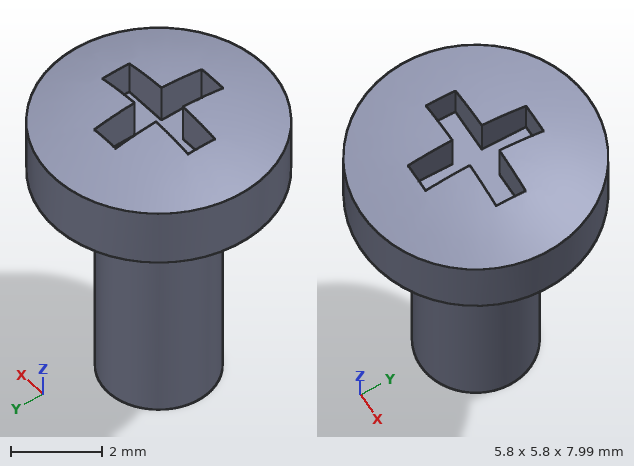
import cadquery as cq
import math

total_height = 7.99
shank_diameter = 2.805
shank_length = 6.0
head_diameter = 5.8
head_side_height = 1.5
recess_span = 3.005
recess_width = 0.75
recess_depth = 0.99

head_radius = head_diameter / 2
dome_base = shank_length + head_side_height

corner_radius = recess_width / math.sqrt(2)
corner_rise = total_height - dome_base
center_drop = (head_radius**2 - corner_radius**2 - corner_rise**2) / (2 * corner_rise)
sphere_radius = math.hypot(head_radius, center_drop)
sphere_center = dome_base - center_drop


def dome_height(radius):
    """Z of the dome surface at a distance from the axis."""
    return sphere_center + math.sqrt(sphere_radius**2 - radius**2)


def make_screw_body():
    """Shank and domed head, revolved as one profile."""
    shank_radius = shank_diameter / 2
    arc_middle = head_radius / 2
    profile = (
        cq.Workplane("XZ")
        .lineTo(shank_radius, 0)
        .lineTo(shank_radius, shank_length)
        .lineTo(head_radius, shank_length)
        .lineTo(head_radius, dome_base)
        .threePointArc((arc_middle, dome_height(arc_middle)), (0, dome_height(0)))
        .close()
    )
    return profile.revolve(360, (0, 0, 0), (0, 1, 0))


def make_cross_recess():
    """Two crossed bars with a flat floor, reaching above the dome."""
    floor = total_height - recess_depth
    cutter_height = 2 * recess_depth
    plane = cq.Workplane("XY").workplane(offset=floor)
    bar_x = plane.rect(recess_span, recess_width).extrude(cutter_height)
    bar_y = plane.rect(recess_width, recess_span).extrude(cutter_height)
    return bar_x.union(bar_y)


result = make_screw_body().cut(make_cross_recess())